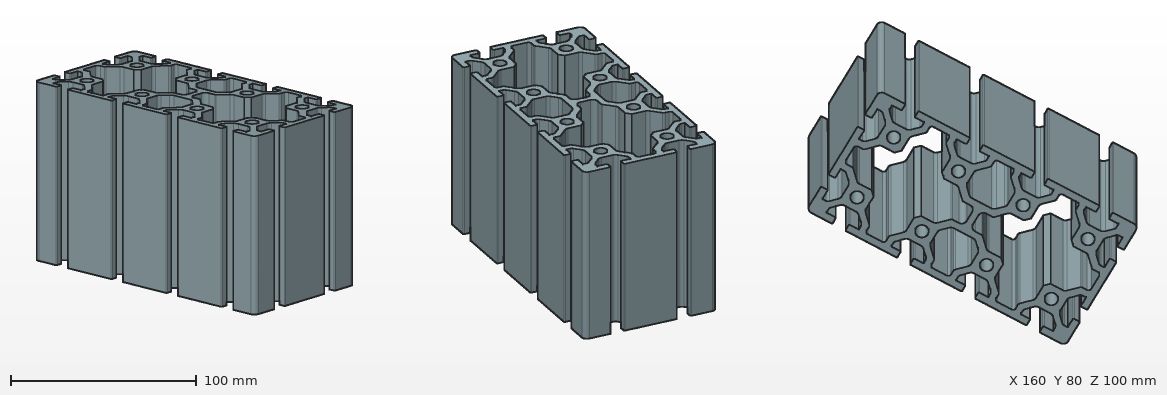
import math

import cadquery as cq

length_x = 160.0
length_y = 80.0
height = 100.0
corner_radius = 3.0

pitch = 40.0
core_hole_diameter = 7.3
core_half = 7.5
core_chamfer = 2.8

slot_opening = 8.0
lip_thickness = 4.2
lip_edge_radius = 0.5
slot_half_width = 10.0
slot_wall_depth = 7.3
slot_floor_depth = pitch / 2 - core_half
slot_wall_radius = 2.5
slot_floor_radius = 3.5

wall = 4.0
lobe_half_width = pitch / 2 - slot_half_width - wall
upright_lobe_shoulder = 8.9
side_lobe_shoulder = 9.5
upright_lobe_radius = 1.5
upright_shoulder_radius = 2.0
side_shoulder_radius = 1.0
core_bend_radius = 3.0
outer_lobe_radius = 1.8
web_lobe_radius = 3.0
middle_bend_radius = 3.5
sharp = 0.0

half_x = length_x / 2
half_y = length_y / 2
flank = pitch / 2 - core_half
module_x = [pitch * (i + 0.5) - half_x for i in range(round(length_x / pitch))]
module_y = [pitch * (i + 0.5) - half_y for i in range(round(length_y / pitch))]


def rounded_prism(corners):
    """Extrude a closed outline given as (x, y, corner radius) to the full height."""
    outline = []
    for i, (x, y, radius) in enumerate(corners):
        corner = cq.Vector(x, y)
        to_previous = (cq.Vector(*corners[i - 1][:2]) - corner).normalized()
        to_next = (cq.Vector(*corners[(i + 1) % len(corners)][:2]) - corner).normalized()
        half_angle = to_previous.getAngle(to_next) / 2
        setback = radius / math.tan(half_angle)
        to_centre = (to_previous + to_next).normalized()
        arc_middle = corner + to_centre * (radius / math.sin(half_angle) - radius)
        outline.append((corner + to_previous * setback, arc_middle, corner + to_next * setback, radius))

    first_arc_end = outline[0][2]
    sketch = cq.Workplane("XY").moveTo(first_arc_end.x, first_arc_end.y)
    for start, middle, end, radius in outline[1:] + outline[:1]:
        sketch = sketch.lineTo(start.x, start.y)
        if radius > 0:
            sketch = sketch.threePointArc((middle.x, middle.y), (end.x, end.y))
    return sketch.close().extrude(height)


def mirrored_in_x(half_outline):
    """Complete an outline that is symmetric about X = 0."""
    return half_outline + [(-x, y, radius) for x, y, radius in reversed(half_outline)]


def mirrored_in_y(half_outline):
    """Complete an outline that is symmetric about Y = 0."""
    return half_outline + [(x, -y, radius) for x, y, radius in reversed(half_outline)]


def t_slot():
    """T-slot opening toward +Y, with the outer face at Y = 0."""
    floor_half = slot_half_width - (slot_floor_depth - slot_wall_depth)
    return rounded_prism(mirrored_in_x([
        (slot_opening / 2, 0, sharp),
        (slot_opening / 2, -lip_thickness, sharp),
        (slot_half_width, -lip_thickness, sharp),
        (slot_half_width, -slot_wall_depth, slot_wall_radius),
        (floor_half, -slot_floor_depth, slot_floor_radius),
    ]))


def lip_edges():
    """Selector for the outer and inner corner edges of every slot lip."""
    reach = lip_edge_radius / 2
    corners = []
    for offset in (-slot_opening / 2, slot_opening / 2):
        for depth in (0, lip_thickness):
            for sign in (-1, 1):
                corners += [(x + offset, sign * (half_y - depth)) for x in module_x]
                corners += [(sign * (half_x - depth), y + offset) for y in module_y]

    boxes = [
        cq.selectors.BoxSelector((x - reach, y - reach, 0), (x + reach, y + reach, height))
        for x, y in corners
    ]
    at_corners = boxes[0]
    for box in boxes[1:]:
        at_corners = at_corners + box
    return at_corners & cq.selectors.ParallelDirSelector(cq.Vector(0, 0, 1))


def upright_lobe(sign):
    """Right (+1) or left (-1) side of a chamber lobe below the +Y face, from the face inward."""
    shoulder_y = half_y - upright_lobe_shoulder
    return [
        (sign * lobe_half_width, half_y - lip_thickness, upright_lobe_radius),
        (sign * lobe_half_width, shoulder_y, upright_shoulder_radius),
        (sign * flank, shoulder_y - (flank - lobe_half_width), core_bend_radius),
    ]


def side_lobe(sign, end_depth, end_radius):
    """Upper half of a chamber lobe along X, from the core face outward to the lobe's end."""
    shoulder_x = pitch - side_lobe_shoulder
    return [
        (sign * flank, flank + core_chamfer, sharp),
        (sign * (flank + core_chamfer), flank, sharp),
        (sign * (shoulder_x - (flank - lobe_half_width)), flank, core_bend_radius),
        (sign * shoulder_x, lobe_half_width, side_shoulder_radius),
        (sign * (pitch - end_depth), lobe_half_width, end_radius),
    ]


def cross_chamber():
    """Cross-shaped chamber between four cores, outer end toward -X, web end toward +X."""
    left = upright_lobe(-1) + side_lobe(-1, lip_thickness, outer_lobe_radius)
    right = upright_lobe(1) + side_lobe(1, wall / 2, web_lobe_radius)
    return rounded_prism(mirrored_in_y(left[::-1] + right))


def middle_chamber():
    """Chamber at X = 0 between the +Y face and the central web."""
    floor_y = lobe_half_width + wall
    bend_run = slot_floor_depth - slot_wall_depth
    return rounded_prism(mirrored_in_x(upright_lobe(1) + [
        (flank, floor_y + bend_run, core_bend_radius),
        (flank - bend_run, floor_y, middle_bend_radius),
    ]))


def rotated(solid, angle):
    """Turn a solid about the Z axis by an angle in degrees."""
    return solid.rotate((0, 0, 0), (0, 0, 1), angle)


result = cq.Workplane("XY").rect(length_x, length_y).extrude(height).edges("|Z").fillet(corner_radius)

for x in module_x:
    result = result.cut(t_slot().translate((x, half_y, 0)))
    result = result.cut(rotated(t_slot(), 180).translate((x, -half_y, 0)))

for y in module_y:
    result = result.cut(rotated(t_slot(), 90).translate((-half_x, y, 0)))
    result = result.cut(rotated(t_slot(), -90).translate((half_x, y, 0)))

result = result.edges(lip_edges()).fillet(lip_edge_radius)

for angle in (0, 180):
    result = result.cut(rotated(cross_chamber().translate((-pitch, 0, 0)), angle))
    result = result.cut(rotated(middle_chamber(), angle))

hole_centres = [(x, y) for x in module_x for y in module_y]
result = result.cut(
    cq.Workplane("XY").pushPoints(hole_centres).circle(core_hole_diameter / 2).extrude(height)
)